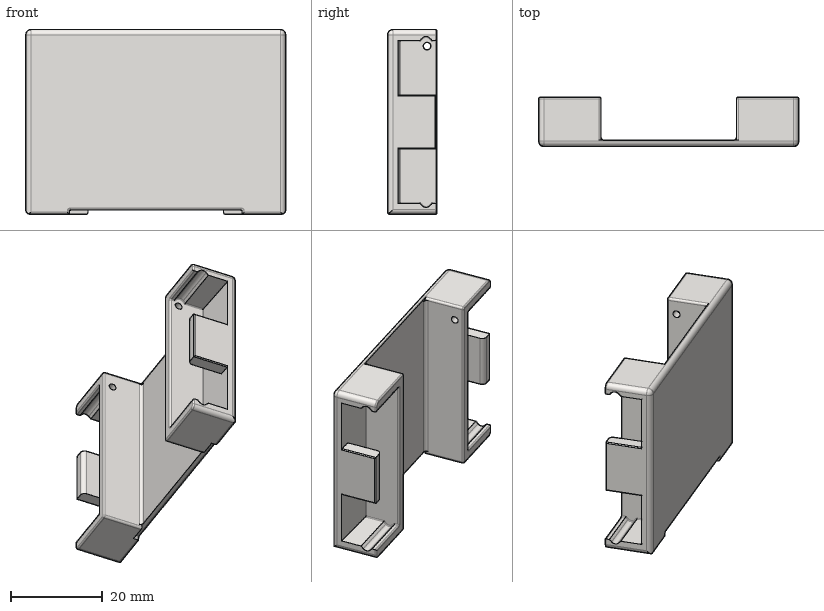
import cadquery as cq
import math

LENGTH = 56.7
DEPTH = 10.8
HEIGHT = 40.3

PLATE_THICKNESS = 1.4
BLOCK_LENGTH = 13.6
WALL = 2.4
FLOOR_AT_OPENING = 2.3
FLOOR_AT_INNER_WALL = 2.65

OUTER_RADIUS = 1.2
BOTTOM_END_RADIUS = 1.0
BOTTOM_FRONT_RADIUS = 0.5
BACK_EDGE_RADIUS = 0.35
BLOCK_EDGE_RADIUS = 0.5
BLOCK_ROOT_RADIUS = 0.7

RELIEF_INSET = 9.6
RELIEF_HEIGHT = 0.9
RELIEF_CORNER_RADIUS = 0.15

CAVITY_DEPTH = BLOCK_LENGTH - WALL
CAVITY_HEIGHT = HEIGHT - 2 * WALL
CAVITY_END_RADIUS = 0.15

GROOVE_Y = 8.4
GROOVE_DEPTH = 0.85
GROOVE_RADIUS = 1.15

TAB_THICKNESS = 2.9
TAB_HEIGHT = CAVITY_HEIGHT / 3
TAB_TIP_Y = 10.55
TAB_TIP_RADIUS = 1.0
TAB_EDGE_CHAMFER = 0.2

HOLE_DIAMETER = 1.6
HOLE_Y = 8.6
HOLE_Z = 36.7

MID_X = LENGTH / 2
MID_Z = HEIGHT / 2


def box_between(low, high):
    """Box spanning two opposite corners."""
    size = [b - a for a, b in zip(low, high)]
    return cq.Workplane("XY").box(*size, centered=False).translate(low)


def both_ends(feature):
    """The left end feature together with its mirror image at the right end."""
    return feature.union(feature.mirror("YZ", (MID_X, 0, 0)))


def make_shell():
    """Rounded outer body with the front relief and the open bay between the blocks."""
    body = box_between((0, 0, 0), (LENGTH, DEPTH, HEIGHT))
    body = body.edges("(|Z and <Y) or (>Z and |Y) or (>Z and <Y)").fillet(OUTER_RADIUS)

    relief = box_between((RELIEF_INSET, 0, 0), (LENGTH - RELIEF_INSET, PLATE_THICKNESS, RELIEF_HEIGHT))
    body = body.cut(relief.edges(">Z and |Y").fillet(RELIEF_CORNER_RADIUS))
    relief_rim = cq.selectors.BoxSelector(
        (RELIEF_INSET - WALL, -WALL, RELIEF_HEIGHT / 4),
        (LENGTH - RELIEF_INSET + WALL, PLATE_THICKNESS / 2, WALL),
    )
    body = body.edges(relief_rim).fillet(BOTTOM_FRONT_RADIUS)

    end_rounding = box_between((0, 0, 0), (LENGTH, DEPTH, HEIGHT))
    end_rounding = end_rounding.edges("<Z and |Y").fillet(BOTTOM_END_RADIUS)
    front_rounding = box_between((0, 0, 0), (LENGTH, DEPTH, HEIGHT))
    front_rounding = front_rounding.edges("<Z and <Y").fillet(BOTTOM_FRONT_RADIUS)
    body = body.intersect(end_rounding).intersect(front_rounding)

    bay = box_between((BLOCK_LENGTH, PLATE_THICKNESS, 0), (LENGTH - BLOCK_LENGTH, DEPTH, HEIGHT))
    return body.cut(bay)


def round_bay_edges(body):
    """Soften the block edges that border the bay at the top and bottom."""
    bay_border = cq.selectors.BoxSelector(
        (BLOCK_LENGTH - WALL / 2, DEPTH / 4, -WALL),
        (LENGTH - BLOCK_LENGTH + WALL / 2, DEPTH - WALL, HEIGHT + WALL),
    )
    return body.edges(bay_border).fillet(BLOCK_EDGE_RADIUS)


def make_block_root():
    """Concave rounding where the left block meets the back of the plate, above the relief."""
    corner = (BLOCK_LENGTH, PLATE_THICKNESS)
    bend = BLOCK_ROOT_RADIUS * (1 - math.sin(math.pi / 4))
    return (
        cq.Workplane("XY", origin=(0, 0, RELIEF_HEIGHT))
        .moveTo(*corner)
        .lineTo(corner[0] + BLOCK_ROOT_RADIUS, corner[1])
        .threePointArc(
            (corner[0] + bend, corner[1] + bend),
            (corner[0], corner[1] + BLOCK_ROOT_RADIUS),
        )
        .close()
        .extrude(HEIGHT - BLOCK_EDGE_RADIUS - RELIEF_HEIGHT)
    )


def make_groove_profile(z, outward):
    """Left groove that deepens from height z in the outward direction (+1 or -1)."""
    slant = GROOVE_RADIUS * math.sin(math.pi / 4)
    tangent_depth = GROOVE_DEPTH - (GROOVE_RADIUS - slant)
    mouth = slant + tangent_depth
    return (
        cq.Workplane("YZ")
        .moveTo(GROOVE_Y - mouth, z)
        .lineTo(GROOVE_Y - slant, z + outward * tangent_depth)
        .threePointArc(
            (GROOVE_Y, z + outward * GROOVE_DEPTH),
            (GROOVE_Y + slant, z + outward * tangent_depth),
        )
        .lineTo(GROOVE_Y + mouth, z)
        .close()
        .extrude(CAVITY_DEPTH)
    )


def make_cavity():
    """Left cavity: open at the end and the back, with two grooves and a sloping floor."""
    top = HEIGHT - WALL
    cavity = box_between((0, FLOOR_AT_INNER_WALL, WALL), (CAVITY_DEPTH, DEPTH, top))
    cavity = cavity.union(make_groove_profile(top, 1)).union(make_groove_profile(WALL, -1))
    cavity = cavity.faces(">X").edges("not >Y").fillet(CAVITY_END_RADIUS)
    floor_slope = (
        cq.Workplane("XY", origin=(0, 0, WALL))
        .moveTo(0, FLOOR_AT_OPENING)
        .lineTo(CAVITY_DEPTH - CAVITY_END_RADIUS, FLOOR_AT_INNER_WALL)
        .lineTo(0, FLOOR_AT_INNER_WALL)
        .close()
        .extrude(CAVITY_HEIGHT)
    )
    return cavity.union(floor_slope)


def make_tab():
    """Left tab: chamfered outer edges and a rounded inner corner at its tip."""
    low_z = MID_Z - TAB_HEIGHT / 2
    tab = box_between((0, PLATE_THICKNESS, low_z), (TAB_THICKNESS, TAB_TIP_Y, low_z + TAB_HEIGHT))
    tab = tab.edges(">X and >Y").fillet(TAB_TIP_RADIUS)
    outer_edges = tab.faces("<X").edges("not <Y")
    tab = outer_edges.chamfer(TAB_EDGE_CHAMFER)
    return tab.intersect(box_between((0, FLOOR_AT_OPENING, 0), (LENGTH, DEPTH, HEIGHT)))


def make_pin_holes():
    """One straight bore through both inner walls."""
    bore = cq.Workplane("YZ", origin=(CAVITY_DEPTH / 2, 0, 0)).center(HOLE_Y, HOLE_Z)
    return bore.circle(HOLE_DIAMETER / 2).extrude(LENGTH - CAVITY_DEPTH)


shell = round_bay_edges(make_shell())
shell = shell.cut(both_ends(make_cavity()))
shell = shell.faces(">Y").edges().fillet(BACK_EDGE_RADIUS)
shell = shell.union(both_ends(make_block_root()))
shell = shell.union(both_ends(make_tab()))
result = shell.cut(make_pin_holes())